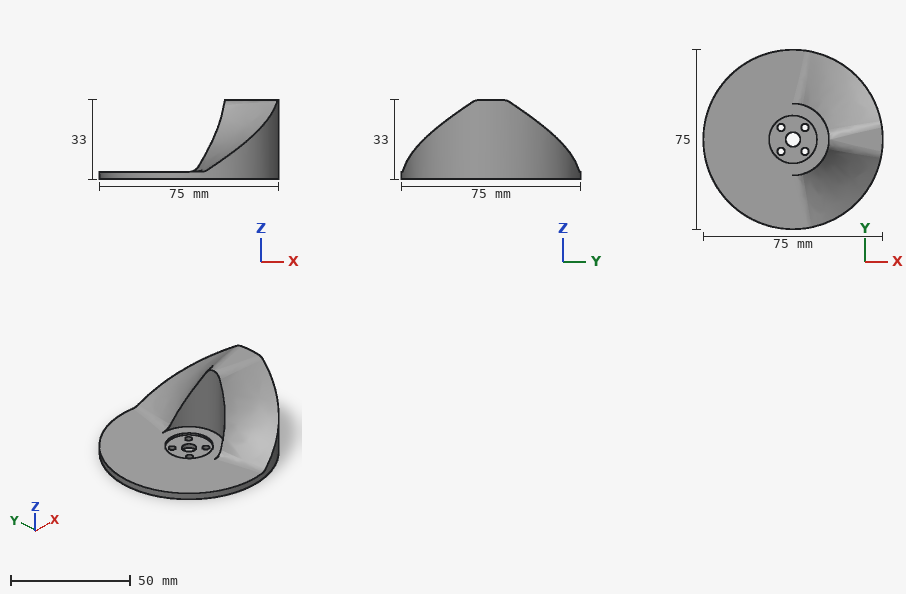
import cadquery as cq
import math

disc_radius = 37.5
disc_thickness = 3.0

cam_inner_radius = 15.0
cam_height = 30.0
ramp_top_angle = 10.0
ramp_bottom_angle = 80.0
flank_fillet = 4.95
sector_span = 180.0
overrun = 2.25

recess_diameter = 20.0
recess_depth = 1.0
bore_diameter = 6.0
bolt_hole_diameter = 3.0
bolt_spacing = 10.0


def polar(radius, degrees):
    angle = math.radians(degrees)
    return (radius * math.cos(angle), radius * math.sin(angle))


def annular_sector(inner, outer, start, end):
    """Closed outline on the disc face, between two radii and two angles in degrees."""
    middle = (start + end) / 2
    return (
        cq.Workplane("XY", origin=(0, 0, disc_thickness))
        .moveTo(*polar(inner, start))
        .lineTo(*polar(outer, start))
        .threePointArc(polar(outer, middle), polar(outer, end))
        .lineTo(*polar(inner, end))
        .threePointArc(polar(inner, middle), polar(inner, start))
        .close()
    )


def edge_near(angle, height):
    """Selector for the radial ramp edge at the given angle and height."""
    x, y = polar((cam_inner_radius + disc_radius) / 2, angle)
    return cq.selectors.NearestToPointSelector((x, y, height))


def filleted_ramp():
    """Oversize plate and twisted sector whose leading flank is a filleted helical ramp."""
    plate = (
        cq.Workplane("XY")
        .circle(disc_radius + 2 * overrun)
        .circle(cam_inner_radius - 2 * overrun)
        .extrude(disc_thickness)
    )
    sector = annular_sector(
        cam_inner_radius - overrun,
        disc_radius + overrun,
        ramp_bottom_angle - sector_span,
        ramp_bottom_angle,
    )
    ramp = plate.union(sector.twistExtrude(cam_height, ramp_top_angle - ramp_bottom_angle))
    ramp = ramp.edges(edge_near(ramp_top_angle, disc_thickness + cam_height)).fillet(flank_fillet)
    return ramp.edges(edge_near(ramp_bottom_angle, disc_thickness)).fillet(flank_fillet)


def cam_on_ring():
    """Two mirrored ramps meeting at the plane of symmetry, trimmed to the finished radii."""
    plate_diameter = 2 * (disc_radius + 2 * overrun)
    total_height = disc_thickness + cam_height
    positive_y_space = cq.Workplane("XY").box(
        plate_diameter, plate_diameter, total_height, centered=(True, False, False)
    )
    half = filleted_ramp().intersect(positive_y_space)
    both_halves = half.union(half.mirror("XZ"))
    ring = cq.Workplane("XY").circle(disc_radius).circle(cam_inner_radius).extrude(total_height)
    return both_halves.intersect(ring)


def drilled(body, diameter, centers):
    """Drill through the disc at each of the given centres."""
    drills = cq.Workplane("XY").pushPoints(centers).circle(diameter / 2).extrude(disc_thickness)
    return body.cut(drills)


hub = cq.Workplane("XY").circle(cam_inner_radius).extrude(disc_thickness)
result = cam_on_ring().union(hub)

recess_floor = disc_thickness - recess_depth
recess = (
    cq.Workplane("XY", origin=(0, 0, recess_floor))
    .circle(recess_diameter / 2)
    .extrude(recess_depth)
)
result = result.cut(recess)
result = drilled(result, bore_diameter, [(0, 0)])
bolt_offset = bolt_spacing / 2
bolt_centers = [(x, y) for x in (-bolt_offset, bolt_offset) for y in (-bolt_offset, bolt_offset)]
result = drilled(result, bolt_hole_diameter, bolt_centers)